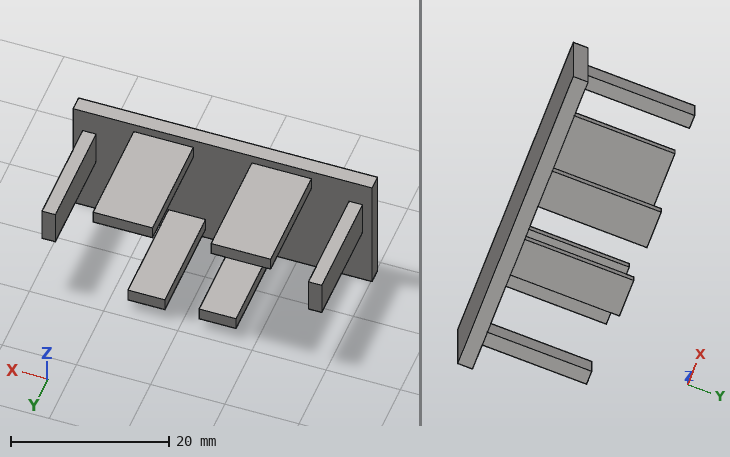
import cadquery as cq

plate_width = 40.3
plate_height = 17.2
plate_thickness = 2.0
overall_depth = 17.0

tab_thickness = 1.8
upper_tab_width = 8.0
lower_tab_width = 5.0

upper_tab_inner = 3.95
upper_tab_top = plate_height - 1.25

lower_tab_inner = 2.3
lower_tab_bottom = 1.5
lower_tab_shortening = 0.05

side_tab_inset = 1.3
side_tab_top = plate_height - 3.55
side_tab_tip_height = 5.0
side_tab_root_height = 5.08


def box(x, y, z, width, depth, height):
    """Box placed by its lowest corner."""
    return cq.Workplane("XY").box(width, depth, height, centered=False).translate((x, y, z))


def flat_tab(inner_edge, bottom, width, tip):
    """Horizontal tab on the +X side, rooted inside the plate."""
    return box(inner_edge, 0, bottom, width, tip, tab_thickness)


def side_tab():
    """Upright tab near the +X end whose lower edge rises slightly to the tip."""
    profile = [
        (plate_thickness, side_tab_top),
        (overall_depth, side_tab_top),
        (overall_depth, side_tab_top - side_tab_tip_height),
        (plate_thickness, side_tab_top - side_tab_root_height),
    ]
    inner_face = plate_width / 2 - side_tab_inset - tab_thickness
    return (
        cq.Workplane("YZ", origin=(inner_face, 0, 0))
        .polyline(profile)
        .close()
        .extrude(tab_thickness)
    )


result = box(-plate_width / 2, 0, 0, plate_width, plate_thickness, plate_height)

tabs = [
    flat_tab(upper_tab_inner, upper_tab_top - tab_thickness, upper_tab_width, overall_depth),
    flat_tab(lower_tab_inner, lower_tab_bottom, lower_tab_width, overall_depth - lower_tab_shortening),
    side_tab(),
]

for tab in tabs:
    result = result.union(tab).union(tab.mirror("YZ"))